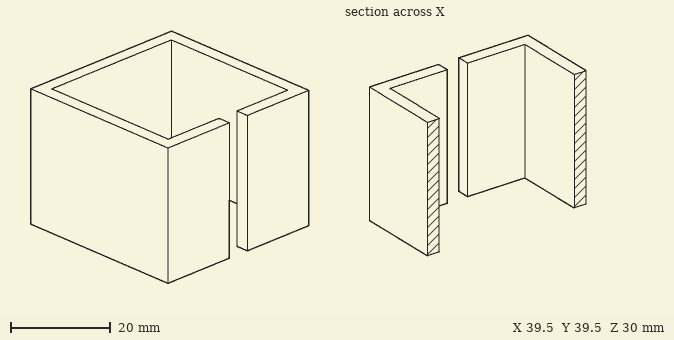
import cadquery as cq

side = 39.5
height = 30.0
wall = 3.0
slit_width = 5.0

inner_side = side - 2 * wall

tube = cq.Workplane("XY").rect(side, side).rect(inner_side, inner_side).extrude(height)

slit = (
    cq.Workplane("XY")
    .center(side / 2 - wall / 2, 0)
    .rect(wall, slit_width)
    .extrude(height)
)

result = tube.cut(slit)